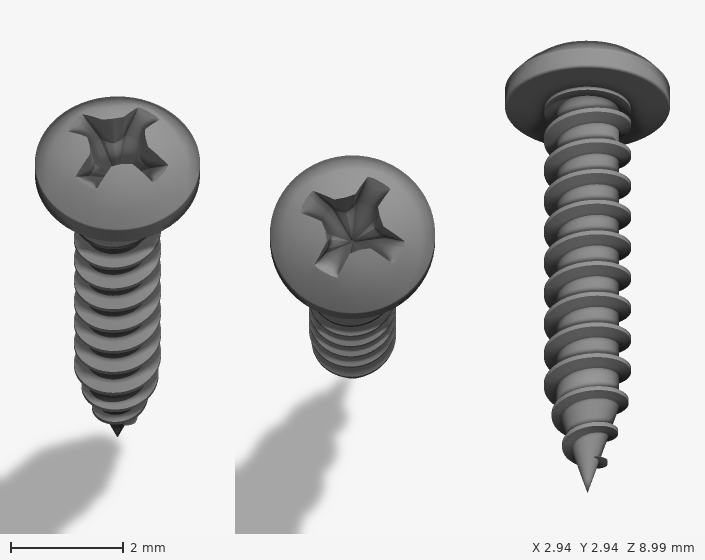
import cadquery as cq
import math

head_radius = 1.47
head_base_z = 7.95
dome_apex_z = 9.06
dome_radius = 1.84
rim_radius = 0.045

collar_radius = 0.77
collar_height = 0.06
shank_radius = 0.562
point_length = 1.8

thread_pitch = 0.634
thread_radius = 0.778
crest_half_width = 0.0405
flank_run_per_height = 0.52
root_embed = 0.08
reference_z = 1.856
thread_taper_z = 2.07
crest_taper = 0.295
thread_base_z = 0.65
blank_overrun = 0.14
points_per_turn = 24

wing_reach = 0.97
wing_width = 0.47
wing_foot_reach = 0.58
wing_edge_radial = 0.03
wing_edge_lateral = 0.1
recess_mouth_z = 8.77
wing_depth = 0.405
floor_depth = 0.49
tip_scale = 0.04
shoulder_mouth = 0.485
shoulder_foot = 0.45
ridge_mouth = 0.33
ridge_foot = 0.29

collar_base_z = head_base_z - collar_height
recess_foot_z = recess_mouth_z - wing_depth


def core_radius(z):
    """Radius of the threaded core: a cylinder ending in a cone."""
    return shank_radius * min(1.0, z / point_length)


def recess_outline(reach, shoulder, ridge, scale=1.0):
    """Closed cross outline: four wings joined by two-facet corners."""
    half = wing_width / 2
    quarter = [
        (reach, -half + wing_edge_lateral),
        (reach, half - wing_edge_lateral),
        (reach - wing_edge_radial, half),
        (shoulder, half),
        (ridge, ridge),
        (half, shoulder),
        (half, reach - wing_edge_radial),
    ]
    points = []
    for i in range(4):
        angle = i * math.pi / 2
        for x, y in quarter:
            turned_x = x * math.cos(angle) - y * math.sin(angle)
            turned_y = x * math.sin(angle) + y * math.cos(angle)
            points.append((scale * turned_x, scale * turned_y))
    return points


def make_recess():
    """Cross recess: inclined walls down to the wing feet, then a faceted pointed floor."""
    wall_height = dome_apex_z - recess_foot_z
    stretch = wall_height / wing_depth

    def at_apex(foot, mouth):
        return foot + (mouth - foot) * stretch

    foot = recess_outline(wing_foot_reach, shoulder_foot, ridge_foot)
    tip = recess_outline(wing_foot_reach, shoulder_foot, ridge_foot, tip_scale)
    opening = recess_outline(
        at_apex(wing_foot_reach, wing_reach),
        at_apex(shoulder_foot, shoulder_mouth),
        at_apex(ridge_foot, ridge_mouth),
    )

    walls = (
        cq.Workplane("XY", origin=(0, 0, recess_foot_z))
        .polyline(foot).close()
        .workplane(offset=wall_height)
        .polyline(opening).close()
        .loft(ruled=True)
    )
    floor = (
        cq.Workplane("XY", origin=(0, 0, recess_foot_z - floor_depth))
        .polyline(tip).close()
        .workplane(offset=floor_depth)
        .polyline(foot).close()
        .loft(ruled=True)
    )
    return walls.union(floor)


def make_screw():
    """Pan head, collar, shank and point as one turned body with a cross recess."""
    dome_center_z = dome_apex_z - dome_radius

    def dome_z(radius):
        return dome_center_z + math.sqrt(dome_radius**2 - radius**2)

    mid_radius = head_radius / 2
    head = (
        cq.Workplane("XZ")
        .moveTo(0, head_base_z)
        .lineTo(head_radius, head_base_z)
        .lineTo(head_radius, dome_z(head_radius))
        .threePointArc((mid_radius, dome_z(mid_radius)), (0, dome_apex_z))
        .close()
        .revolve(360, (0, 0, 0), (0, 1, 0))
        .faces("%CYLINDER").edges("%CIRCLE").fillet(rim_radius)
    )
    shank = (
        cq.Workplane("XZ")
        .moveTo(0, 0)
        .lineTo(shank_radius, point_length)
        .lineTo(shank_radius, collar_base_z)
        .lineTo(collar_radius, collar_base_z)
        .lineTo(collar_radius, head_base_z)
        .lineTo(0, head_base_z)
        .close()
        .revolve(360, (0, 0, 0), (0, 1, 0))
    )
    return head.union(shank).cut(make_recess())


def crest_radius(z):
    """Crest radius: constant along the shank, tapering toward the point."""
    return thread_radius - crest_taper * max(0.0, thread_taper_z - z)


def make_thread(screw):
    """Right-hand helical ridge, trimmed flat at both ends to sit on the core under the collar."""
    blank_top_z = collar_base_z + thread_pitch / 2
    blank_base_z = thread_base_z - blank_overrun
    blank_height = blank_top_z - blank_base_z
    steps = math.ceil(blank_height / thread_pitch * points_per_turn)
    root_low, crest_low, crest_high, root_high = [], [], [], []
    for i in range(steps + 1):
        z = blank_base_z + blank_height * i / steps
        angle = 2 * math.pi * (z - reference_z) / thread_pitch
        crest = crest_radius(z)
        root = core_radius(z) - root_embed
        root_half_width = crest_half_width + flank_run_per_height * (crest - root)

        def place(radius, height):
            return cq.Vector(radius * math.cos(angle), radius * math.sin(angle), height)

        root_low.append(place(root, z - root_half_width))
        crest_low.append(place(crest, z - crest_half_width))
        crest_high.append(place(crest, z + crest_half_width))
        root_high.append(place(root, z + root_half_width))

    rails = [root_low, crest_low, crest_high, root_high]
    edges = [cq.Edge.makeSpline(rail) for rail in rails]
    faces = [cq.Face.makeRuledSurface(edges[i - 1], edges[i]) for i in range(4)]
    for end in (0, -1):
        corners = [rail[end] for rail in rails]
        faces.append(cq.Face.makeFromWires(cq.Wire.makePolygon(corners, close=True)))
    ridge = cq.Workplane(cq.Solid.makeSolid(cq.Shell.makeShell(faces)).fix())

    threaded_length = (
        cq.Workplane("XY", origin=(0, 0, thread_base_z))
        .circle(head_radius)
        .extrude(collar_base_z - thread_base_z)
    )
    return ridge.intersect(threaded_length).cut(screw)


screw = make_screw()
thread = make_thread(screw)
result = cq.Compound.makeCompound([screw.solids().val(), thread.solids().val()])